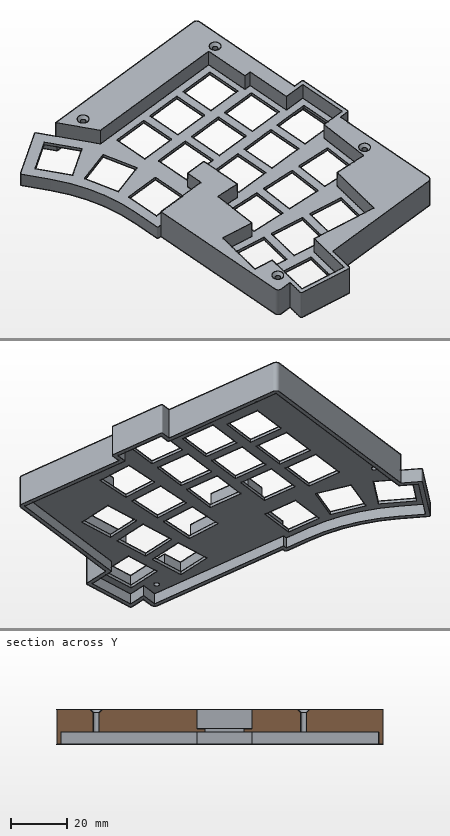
import cadquery as cq
import math


case_height = 12.5
plate_top = 5.7
plate_thickness = 1.3
wall = 1.6
plate_underside = plate_top - plate_thickness

body_length = 116.5
body_width = 79.0
body_corner_radius = 1.6

key_pitch_x = 18.0
key_pitch_y = 17.0
key_hole = 13.8
cell_clearance = 0.75
cell_half_x = key_pitch_x / 2 + cell_clearance
cell_half_y = key_pitch_y / 2 + cell_clearance
outer_half_x = cell_half_x + wall
outer_half_y = cell_half_y + wall
surround_corner_radius = 0.6
rows = 3
column_half_y = cell_half_y + key_pitch_y

first_column = (24.0, 44.2, 0)
second_column = (41.95, 46.9, 0)
middle_column = (59.9, 55.3, 0)
tilted_column = (79.2, 45.2, -4)
steep_column = (97.65, 29.9, -10)
columns = [first_column, second_column, middle_column, tilted_column, steep_column]
wedge_reach = 4.0

outer_key_rise = 7.65

thumb_x = 47.0
thumb_y = 9.27
thumb_radius = 76.8
thumb_step = 15
thumb_count = 3

screw_places = [(14.1, 73.9), (88.1, 73.9), (5.8, 14.6), (110.8, 5.7)]
screw_diameter = 2.0
screw_head_diameter = 4.2
screw_head_angle = 90


def local_point(frame, along, across):
    """Return the place of a point given in the axes of a (x, y, tilt) frame."""
    x, y, tilt = frame
    turn = math.radians(tilt)
    return (
        x + along * math.cos(turn) - across * math.sin(turn),
        y + along * math.sin(turn) + across * math.cos(turn),
    )


def block(frame, left, right, bottom, top, z_low, z_high):
    """Return a block whose sides are distances in the axes of the frame."""
    corners = [(left, bottom), (right, bottom), (right, top), (left, top)]
    outline = [local_point(frame, *corner) for corner in corners]
    return cq.Workplane("XY").workplane(offset=z_low).polyline(outline).close().extrude(z_high - z_low)


def centred_block(frame, half_x, half_y, z_low, z_high):
    """Return a block centred on the frame."""
    return block(frame, -half_x, half_x, -half_y, half_y, z_low, z_high)


outer_key = (*local_point(steep_column, key_pitch_x, outer_key_rise - key_pitch_y), steep_column[2])


def thumb_frame(index):
    """Return the centre and turn of a thumb key, counted from the upright one."""
    turn = index * thumb_step
    x = thumb_x - thumb_radius * math.sin(math.radians(turn))
    y = thumb_y - thumb_radius * (1 - math.cos(math.radians(turn)))
    return (x, y, turn)


def key_frames():
    """Return the centre and tilt of every key."""
    frames = [outer_key]
    for column in columns:
        for row in range(rows):
            across = (row - (rows - 1) / 2) * key_pitch_y
            frames.append((*local_point(column, 0, across), column[2]))
    frames += [thumb_frame(index) for index in range(thumb_count)]
    return frames


def finger_region(z_low, z_high):
    """The joined cells of the finger keys, with the wedges between turned columns filled."""
    region = centred_block(outer_key, cell_half_x, cell_half_y, z_low, z_high)
    for column in columns:
        region = region.union(centred_block(column, cell_half_x, column_half_y, z_low, z_high))
    for column in (tilted_column, steep_column):
        wedge = block(
            column, -cell_half_x - wedge_reach, 0, -key_pitch_y / 2, column_half_y, z_low, z_high
        )
        region = region.union(wedge)
    return region


def thumb_region(z_low, z_high, inset):
    """The thumb fan, up to the finger columns; the inset draws its outer sides in."""
    half_x = outer_half_x - inset
    half_y = outer_half_y - inset
    last = thumb_frame(thumb_count - 1)
    edge_radius = thumb_radius - half_y
    middle_turn = math.radians(last[2] / 2)
    pivot_y = thumb_y - thumb_radius
    arc_middle = (
        thumb_x - edge_radius * math.sin(middle_turn),
        pivot_y + edge_radius * math.cos(middle_turn),
    )
    left_x = first_column[0] - cell_half_x
    top_y = second_column[1] - column_half_y
    tip = local_point(last, -half_x, half_y)
    left_y = tip[1] + (left_x - tip[0]) * math.tan(math.radians(last[2]))
    return (
        cq.Workplane("XY")
        .workplane(offset=z_low)
        .moveTo(thumb_x + half_x, top_y)
        .lineTo(thumb_x + half_x, thumb_y - half_y)
        .lineTo(thumb_x, thumb_y - half_y)
        .threePointArc(arc_middle, local_point(last, 0, -half_y))
        .lineTo(*local_point(last, -half_x, -half_y))
        .lineTo(*tip)
        .lineTo(left_x, left_y)
        .lineTo(left_x, top_y)
        .close()
        .extrude(z_high - z_low)
    )


def frame_block():
    """The full-height body, with surrounds for the keys that reach past its sides."""
    body = (
        cq.Workplane("XY")
        .rect(body_length, body_width, centered=False)
        .extrude(case_height)
        .edges("|Z")
        .fillet(body_corner_radius)
    )
    middle_surround = block(
        middle_column, -outer_half_x, outer_half_x, 0, column_half_y + wall, 0, case_height
    )
    middle_surround = middle_surround.edges("|Z").fillet(surround_corner_radius)
    outer_surround = centred_block(outer_key, outer_half_x, outer_half_y, 0, case_height)
    outer_surround = outer_surround.edges("|Z").fillet(surround_corner_radius)
    return body.union(middle_surround).union(outer_surround)


def cavity():
    """The room under the plate, open at the underside."""
    room = (
        cq.Workplane("XY")
        .box(body_length - 2 * wall, body_width - 2 * wall, plate_underside, centered=False)
        .translate((wall, wall, 0))
    )
    room = room.union(finger_region(0, plate_underside))
    return room.union(thumb_region(0, plate_underside, wall))


def thumb_plate():
    """The low plate under the thumb keys, rounded where it stands clear of the body."""
    plate = thumb_region(0, plate_top, 0)
    last = thumb_frame(thumb_count - 1)
    corners = [
        (thumb_x + outer_half_x, thumb_y - outer_half_y),
        local_point(last, -outer_half_x, -outer_half_y),
        local_point(last, -outer_half_x, outer_half_y),
    ]
    for x, y in corners:
        corner_edge = cq.selectors.NearestToPointSelector((x, y, plate_top / 2))
        plate = plate.edges(corner_edge).fillet(surround_corner_radius)
    return plate


def key_holes():
    """The square switch holes, reaching from the underside to the plate top."""
    holes = cq.Workplane("XY")
    for frame in key_frames():
        holes = holes.add(centred_block(frame, key_hole / 2, key_hole / 2, 0, plate_top))
    return holes.combine()


result = frame_block()
result = result.cut(finger_region(plate_top, case_height))
result = result.cut(thumb_region(0, case_height, 0))
result = result.union(thumb_plate())
result = result.cut(cavity())
result = result.cut(key_holes())
result = (
    result.faces(">Z")
    .workplane(origin=(0, 0, case_height))
    .pushPoints(screw_places)
    .cskHole(screw_diameter, screw_head_diameter, screw_head_angle)
)